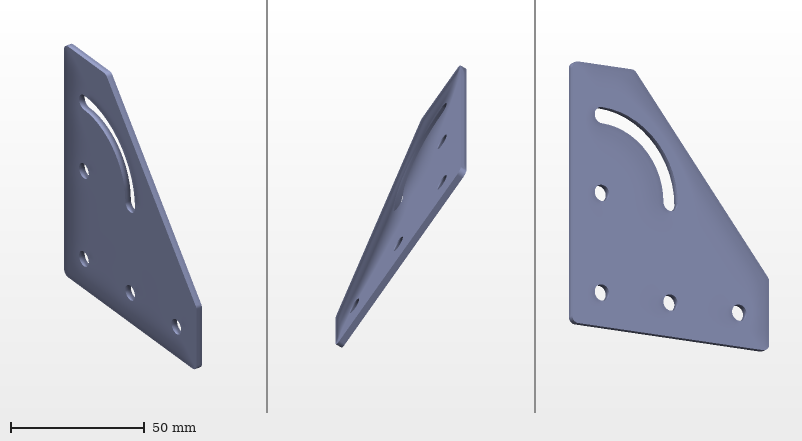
import cadquery as cq
import math

width = 86.0
height = 101.0
thickness = 2.5
top_edge_length = 27.2
right_edge_height = 27.8
corner_radius = 2.5

hole_diameter = 6.3
hole_pitch = 30.0
bottom_hole_count = 3
first_hole_x = 12.9
bottom_row_z = 13.1
pivot_z = 51.6
slot_radius = hole_pitch
slot_width = hole_diameter


def make_plate():
    """Rectangle with its upper right corner cut off, all corners rounded."""
    outline = [
        (0, 0),
        (width, 0),
        (width, right_edge_height),
        (top_edge_length, height),
        (0, height),
    ]
    plate = cq.Workplane("XZ").polyline(outline).close().extrude(-thickness)
    return plate.edges("|Y").fillet(corner_radius)


def make_holes():
    """Bottom row of holes and the pivot hole above the first one."""
    centres = [(first_hole_x + i * hole_pitch, bottom_row_z) for i in range(bottom_hole_count)]
    centres.append((first_hole_x, pivot_z))
    return cq.Workplane("XZ").pushPoints(centres).circle(hole_diameter / 2).extrude(-thickness)


def make_arc_slot():
    """Quarter-circle slot with round ends, centred on the pivot hole."""
    end_radius = slot_width / 2
    outer = slot_radius + end_radius
    inner = slot_radius - end_radius
    diagonal = math.sqrt(0.5)
    return (
        cq.Workplane("XZ", origin=(first_hole_x, 0, pivot_z))
        .moveTo(0, outer)
        .threePointArc((outer * diagonal, outer * diagonal), (outer, 0))
        .threePointArc((slot_radius, -end_radius), (inner, 0))
        .threePointArc((inner * diagonal, inner * diagonal), (0, inner))
        .threePointArc((-end_radius, slot_radius), (0, outer))
        .close()
        .extrude(-thickness)
    )


result = make_plate().cut(make_holes()).cut(make_arc_slot())